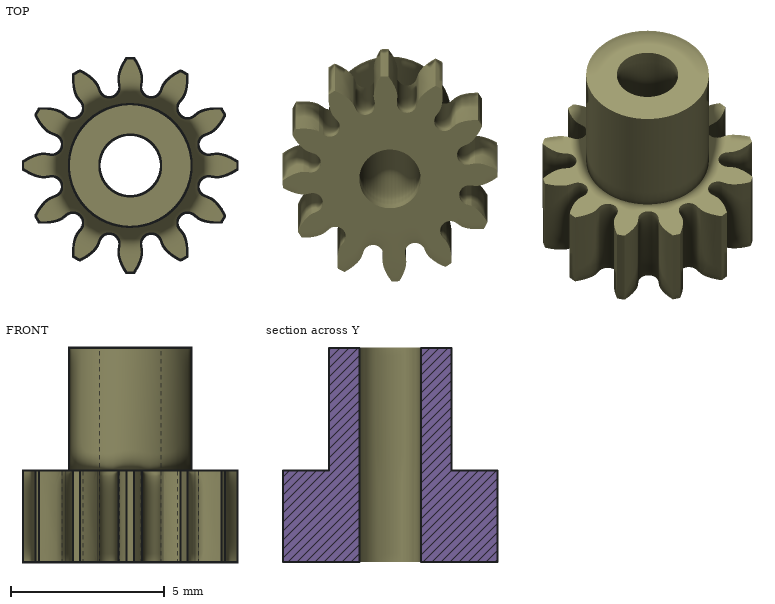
import cadquery as cq
import math

tooth_count = 12
gear_module = 0.5
pressure_angle = math.radians(20)
pitch_tooth_thickness = 0.732
dedendum_factor = 1.375
gap_floor_radius = 0.33
gear_height = 3.0

hub_diameter = 4.0
hub_height = 4.0
bore_diameter = 2.0

pitch_radius = gear_module * tooth_count / 2
tip_radius = pitch_radius + gear_module
root_radius = pitch_radius - dedendum_factor * gear_module
base_radius = pitch_radius * math.cos(pressure_angle)
tooth_pitch_angle = 2 * math.pi / tooth_count

flank_point_count = 7


def involute(angle):
    return math.tan(angle) - angle


def polar(radius, angle):
    return (radius * math.cos(angle), radius * math.sin(angle))


def tooth_half_angle(radius):
    """Half the angle a tooth spans on a circle at or outside the base circle."""
    half_angle_at_pitch = pitch_tooth_thickness / (2 * pitch_radius)
    angle_at_radius = math.acos(min(1.0, base_radius / radius))
    return half_angle_at_pitch + involute(pressure_angle) - involute(angle_at_radius)


def flank_points(tooth_angle, side):
    """Involute flank from base circle to tip; side is -1 or +1 about the tooth centre."""
    radial_step = (tip_radius - base_radius) / (flank_point_count - 1)
    radii = [base_radius + i * radial_step for i in range(flank_point_count)]
    return [polar(r, tooth_angle + side * tooth_half_angle(r)) for r in radii]


def gap_floor_points(gap_angle):
    """Start, bottom and end of the half-circle that closes a tooth gap."""
    centre_radius = root_radius + gap_floor_radius
    end_radius = math.hypot(centre_radius, gap_floor_radius)
    end_angle = math.atan2(gap_floor_radius, centre_radius)
    return (
        polar(end_radius, gap_angle - end_angle),
        polar(root_radius, gap_angle),
        polar(end_radius, gap_angle + end_angle),
    )


def make_gear():
    first_flank_start = flank_points(0, -1)[0]
    outline = cq.Workplane("XY").moveTo(*first_flank_start)
    for i in range(tooth_count):
        tooth_angle = i * tooth_pitch_angle
        rising_flank = flank_points(tooth_angle, -1)
        falling_flank = flank_points(tooth_angle, 1)[::-1]
        gap_angle = tooth_angle + tooth_pitch_angle / 2
        floor_start, floor_bottom, floor_end = gap_floor_points(gap_angle)

        outline = outline.spline(rising_flank[1:], includeCurrent=True)
        outline = outline.threePointArc(polar(tip_radius, tooth_angle), falling_flank[0])
        outline = outline.spline(falling_flank[1:], includeCurrent=True)
        outline = outline.lineTo(*floor_start)
        outline = outline.threePointArc(floor_bottom, floor_end)
        if i < tooth_count - 1:
            next_flank_start = flank_points(tooth_angle + tooth_pitch_angle, -1)[0]
            outline = outline.lineTo(*next_flank_start)
    return outline.close().extrude(gear_height)


def make_hub():
    return (
        cq.Workplane("XY")
        .workplane(offset=gear_height)
        .circle(hub_diameter / 2)
        .extrude(hub_height)
    )


def make_bore():
    return cq.Workplane("XY").circle(bore_diameter / 2).extrude(gear_height + hub_height)


result = make_gear().union(make_hub()).cut(make_bore())